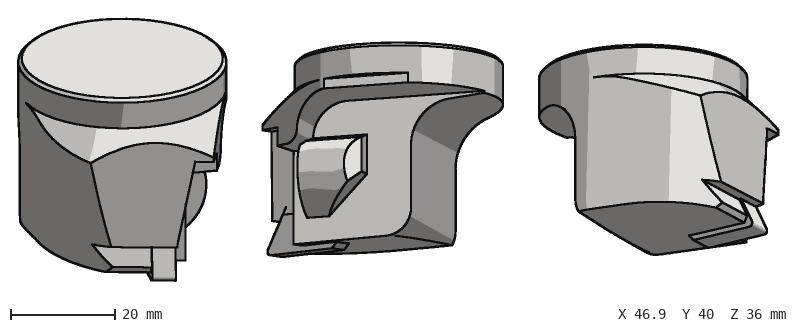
import cadquery as cq
import math

disc_dia = 40.0
disc_radius = disc_dia / 2
disc_chamfer = 0.7
disc_depth = 6.05
overall_depth = 36.0
tip_x = 46.85 - disc_radius
far = 56.25

arc_offset = 7.12
flank_angle = 30

face_y = 5.05
ceiling_edge_z = -8.25
ceiling_end_x, ceiling_end_z = -12.37, -8.9
wall_x = -4.35
wall_top_z = -17.95
foot_radius = 5.15
shank_bottom_z = -34.82
back_ceiling_z = -7.9
back_start_x = 8.65
back_fillet = 7.05
lip_width = 3.05
lip_height = 2.05
back_limit_y = 18.05
overhang_x = 24.65

end_point = (20.5, -14.7, -11.45)
end_normal = (1, -0.176, 0.135)
underside_normal = (-0.02, -0.095, -1)

insert_yaw = 10
insert_tilt = 5.5
insert_length = 15.95
insert_thickness = 4.65
nose_radius = 0.7
corner_cut = 1.12
chip_length = 8.45
chip_flat = 7.5
chip_height = 23.45
chip_rise = 2.35
relief_length = 37.5
relief_inset = 0.45
relief_top = 6.2
relief_corner = 2.45
relief_foot = 0.95
relief_foot_run = 0.7
relief_side = 18.75
relief_roof_slope = 0.2

sin30 = math.sin(math.radians(30))
cos30 = math.cos(math.radians(30))
yaw = math.radians(insert_yaw)
tilt = math.radians(insert_tilt)
rake_normal = (math.sin(yaw) * math.cos(tilt), math.cos(yaw) * math.cos(tilt), -math.sin(tilt))
edge_share = math.cos(yaw)
rise_share = math.sin(yaw) * math.sin(tilt)
nose_overrun = nose_radius * (
    edge_share * cos30 / sin30 - rise_share - math.hypot(edge_share, rise_share)
)
insert_plane = cq.Plane(
    origin=(tip_x + nose_overrun, 0, -overall_depth),
    xDir=(-math.cos(yaw), math.sin(yaw), 0),
    normal=rake_normal,
)


def half_space(point, normal):
    """Large block on the side of a plane that its normal points to."""
    return cq.Workplane(cq.Plane(origin=point, normal=normal)).rect(4 * far, 4 * far).extrude(far)


def y_prism(outline, y_start, y_end):
    """Extrude an XZ outline between two Y positions; outline takes a workplane."""
    plane = cq.Workplane("XZ", origin=(0, y_start, 0))
    return outline(plane).close().extrude(y_start - y_end)


def disc():
    return (
        cq.Workplane("XY").circle(disc_radius).extrude(-disc_depth)
        .faces(">Z").edges().chamfer(disc_chamfer)
    )


def shank_blank():
    """Bulged column under the disc, trimmed by a 45 degree cone and the end face."""
    angle = math.radians(flank_angle)
    tangent_x = disc_radius * math.sin(angle)
    tangent_y = disc_radius * math.cos(angle)
    right_x = arc_offset + disc_radius
    right_y = tangent_y - (right_x - tangent_x) * math.tan(angle)
    diagonal = disc_radius * math.sqrt(0.5)
    column = (
        cq.Workplane("XY", origin=(0, 0, -disc_depth))
        .moveTo(0, -disc_radius)
        .lineTo(arc_offset, -disc_radius)
        .threePointArc((arc_offset + diagonal, -diagonal), (right_x, 0))
        .lineTo(right_x, right_y)
        .lineTo(tangent_x, tangent_y)
        .threePointArc((-disc_radius, 0), (0, -disc_radius))
        .close().extrude(disc_depth - overall_depth)
    )
    cone = cq.Workplane(
        cq.Solid.makeCone(
            disc_radius + overall_depth - disc_depth, disc_radius,
            overall_depth - disc_depth, pnt=cq.Vector(0, 0, -overall_depth),
        )
    )
    column = column.intersect(cone)
    column = column.cut(half_space(end_point, end_normal))
    return column.cut(half_space((0, face_y, shank_bottom_z), underside_normal))


def front_gullet():
    """Space left of the shank, with a rounded root above and a rounded foot below."""
    root_x = ceiling_end_x + (wall_x - ceiling_end_x) * math.sqrt(0.5)
    root_z = wall_top_z + (ceiling_end_z - wall_top_z) * math.sqrt(0.5)
    foot_z = shank_bottom_z + foot_radius
    foot_inset = foot_radius * (1 - math.sqrt(0.5))

    def outline(plane):
        return (
            plane.moveTo(-far, ceiling_edge_z).lineTo(-disc_radius, ceiling_edge_z)
            .lineTo(ceiling_end_x, ceiling_end_z)
            .threePointArc((root_x, root_z), (wall_x, wall_top_z))
            .lineTo(wall_x, foot_z)
            .threePointArc(
                (wall_x + foot_inset, shank_bottom_z + foot_inset),
                (wall_x + foot_radius, shank_bottom_z),
            )
            .lineTo(wall_x + foot_radius, -far).lineTo(-far, -far)
        )

    return y_prism(outline, -far, face_y)


def back_gullet():
    """Space on the rake side, leaving a lip of material under the disc."""
    wall = back_start_x + back_fillet
    wall_z = back_ceiling_z - back_fillet
    bottom_z = wall_z - lip_height
    reach = math.sqrt(0.5)

    def outline(plane):
        return (
            plane.moveTo(-far, back_ceiling_z).lineTo(back_start_x, back_ceiling_z)
            .threePointArc(
                (back_start_x + back_fillet * reach, wall_z + back_fillet * reach),
                (wall, wall_z),
            )
            .threePointArc(
                (wall + lip_width * (1 - reach), wall_z - lip_height * reach),
                (wall + lip_width, bottom_z),
            )
            .lineTo(far, bottom_z).lineTo(far, -far).lineTo(-far, -far)
        )

    return y_prism(outline, face_y, back_limit_y)


def rim_relief():
    """Clears everything below the disc beyond the back gullet."""
    return cq.Workplane("XY").box(2 * far, far, far, centered=(True, False, False)).translate(
        (0, back_limit_y, -disc_depth - far)
    )


def overhang_trim():
    """Vertical end of the lip above the back gullet."""
    return cq.Workplane("XY").box(far, far, far, centered=False).translate(
        (overhang_x, face_y, -disc_depth - far)
    )


def clamp_lump():
    """Rounded boss on the rake face that holds the insert."""
    start_x = 4.7
    length = 12.2
    end_step = 2.8
    bevel_z = -22.5
    root_y = face_y - 1.4
    top_z = -14.75
    foot_z = -30.25
    shoulder = (7.95, -15.8)
    crown = [(9.8, -17.8), (10.5, -22.15), (9.37, -26.1), (6.9, -29.05), (face_y, foot_z)]
    lump = (
        cq.Workplane("YZ", origin=(start_x, 0, 0))
        .moveTo(root_y, top_z).lineTo(face_y, top_z).lineTo(*shoulder)
        .spline(crown, includeCurrent=True)
        .lineTo(root_y, foot_z).close().extrude(length)
    )
    lump = lump.cut(half_space((start_x, face_y + end_step, 0), (-1, 1, 0)))
    return lump.cut(half_space((start_x, face_y, bevel_z), (-1, 0, -1)))


def chip_face():
    """Clearance in front of the insert's rake face, rising away from the cutting edge."""
    side = cq.Plane(
        origin=insert_plane.toWorldCoords((chip_length, 0, 0)).toTuple(),
        xDir=insert_plane.yDir,
        normal=insert_plane.xDir,
    )
    return (
        cq.Workplane(side)
        .moveTo(-far, 0).lineTo(chip_flat, 0)
        .lineTo(chip_height, chip_rise)
        .lineTo(chip_height, far).lineTo(-far, far)
        .close().extrude(-far)
    )


def insert_body():
    """Sixty degree triangular insert with a rounded nose and one clipped corner."""
    nose_edge_middle = insert_plane.toWorldCoords((0, 0, -insert_thickness / 2)).toTuple()
    return (
        cq.Workplane(insert_plane)
        .moveTo(0, 0)
        .lineTo(insert_length - corner_cut, 0)
        .lineTo(insert_length, corner_cut)
        .lineTo(insert_length * sin30, insert_length * cos30)
        .close().extrude(-insert_thickness)
        .edges(cq.selectors.NearestToPointSelector(nose_edge_middle))
        .fillet(nose_radius)
    )


def seat_relief():
    """Clearance around the exposed insert edge, running straight back through the shank."""
    def wall_at(height):
        return height * sin30 / cos30 + relief_inset

    return (
        cq.Workplane(insert_plane)
        .moveTo(wall_at(relief_top), relief_top)
        .lineTo(wall_at(relief_corner), relief_corner)
        .lineTo(wall_at(relief_corner) + relief_foot_run, relief_foot)
        .lineTo(wall_at(relief_corner) + relief_foot_run, -relief_side)
        .lineTo(-relief_side, -relief_side)
        .lineTo(-relief_side, relief_top + relief_side * relief_roof_slope)
        .close().extrude(-relief_length)
    )


holder = disc().union(shank_blank())
for cutter in (front_gullet(), back_gullet(), rim_relief(), overhang_trim(), chip_face()):
    holder = holder.cut(cutter)
insert = insert_body()
holder = holder.union(clamp_lump()).cut(seat_relief()).cut(insert)

result = cq.Compound.makeCompound([*holder.solids().vals(), insert.val()])